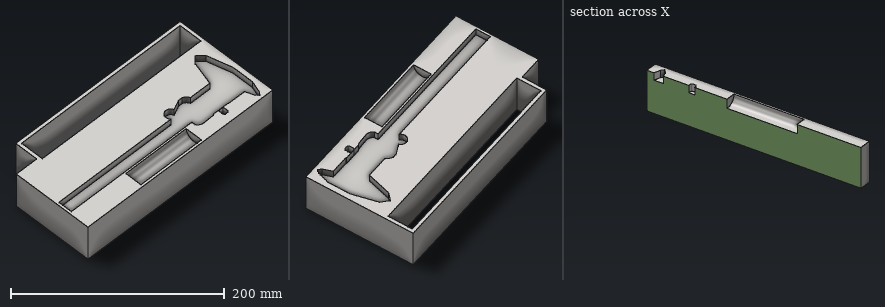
import cadquery as cq
import math

WIDTH = 122.82
LENGTH = 245.0
HEIGHT = 45.0
NOTCH_WIDTH = 28.0
NOTCH_LENGTH = 27.0

WALL = 4.0
COMPARTMENT_WIDTH = 27.4

TRAY_RADIUS = 10.0
TRAY_LENGTH = 80.0
TRAY_CENTER_X = 110.0
TRAY_START_Y = 73.0

CALIPER_DEPTH = 8.0
BEAM_LEFT = 81.4
BEAM_RIGHT = 97.9
BEAM_END_Y = 3.0
HEAD_LEFT = 75.1
HEAD_RIGHT = 105.5
JAW_TOP_Y = 238.7
LARGE_JAW = [
    (HEAD_LEFT, 209.2),
    (47.7, 217.0),
    (40.7, 223.8),
    (48.0, 231.4),
    (76.5, JAW_TOP_Y),
]
SMALL_JAW = [
    (101.9, JAW_TOP_Y),
    (115.7, 234.2),
    (119.0, 231.6),
    (115.7, 228.4),
    (HEAD_RIGHT, 224.7),
]
SLIDER_RIGHT = 105.0
SLIDER_TOP_Y = 203.7
SLIDER_BOTTOM_Y = 162.5
GRIP_TOP_Y = 184.0
GRIP_RIGHT = 106.5
GRIP_LEAD_RADIUS = 3.4
GRIP_LEAD_ANGLE = math.radians(45)
GRIP_END_Y = 170.3
GRIP_CORNER_MID = (105.2, 165.2)
GRIP_CORNER_END_X = 102.0
THUMB_REST_LEFT = 69.7
THUMB_REST_TOP_Y = 183.6
THUMB_REST_CURVE_MID = (71.6, 181.1)
THUMB_REST_CURVE_END_Y = 178.0
THUMB_REST_SLOPE_TOP_Y = 173.2
THUMB_REST_SLOPE_END = (75.0, 161.8)
WHEEL_CENTER = (76.7, 155.9)
WHEEL_RADIUS = 6.4

SCREW_WEB = 0.1
SCREW_LENGTH_X = 7.7
SCREW_LENGTH_Y = 6.3
SCREW_CENTER_Y = 193.5
SCREW_CORNER_RADIUS = 1.8


def make_block():
    """Rectangular block with the notch in its lower-left corner."""
    block = cq.Workplane("XY").box(WIDTH, LENGTH, HEIGHT, centered=False)
    notch = cq.Workplane("XY").box(NOTCH_WIDTH, NOTCH_LENGTH, HEIGHT, centered=False)
    return block.cut(notch)


def make_compartment():
    """Rectangular opening that passes through the full height."""
    start_y = NOTCH_LENGTH + WALL
    length = LENGTH - WALL - start_y
    compartment = cq.Workplane("XY").box(COMPARTMENT_WIDTH, length, HEIGHT, centered=False)
    return compartment.translate((WALL, start_y, 0))


def make_tray():
    """Cylinder along Y whose axis lies in the top face."""
    tray_plane = cq.Workplane("XZ", origin=(TRAY_CENTER_X, TRAY_START_Y, HEIGHT))
    return tray_plane.circle(TRAY_RADIUS).extrude(-TRAY_LENGTH)


def make_caliper():
    """Caliper silhouette, drawn clockwise from the beam end, joined with its thumb wheel."""
    lead_center_x = SLIDER_RIGHT - GRIP_LEAD_RADIUS * math.cos(GRIP_LEAD_ANGLE)
    lead_center_y = GRIP_TOP_Y - GRIP_LEAD_RADIUS * math.sin(GRIP_LEAD_ANGLE)
    lead_mid = (
        lead_center_x + GRIP_LEAD_RADIUS * math.cos(GRIP_LEAD_ANGLE / 2),
        lead_center_y + GRIP_LEAD_RADIUS * math.sin(GRIP_LEAD_ANGLE / 2),
    )
    lead_end = (lead_center_x + GRIP_LEAD_RADIUS, lead_center_y)
    silhouette = (
        cq.Workplane("XY", origin=(0, 0, HEIGHT))
        .moveTo(BEAM_LEFT, BEAM_END_Y)
        .lineTo(BEAM_LEFT, WHEEL_CENTER[1])
        .lineTo(*THUMB_REST_SLOPE_END)
        .lineTo(THUMB_REST_LEFT, THUMB_REST_SLOPE_TOP_Y)
        .lineTo(THUMB_REST_LEFT, THUMB_REST_CURVE_END_Y)
        .threePointArc(THUMB_REST_CURVE_MID, (HEAD_LEFT, THUMB_REST_TOP_Y))
        .polyline(LARGE_JAW + SMALL_JAW, includeCurrent=True)
        .lineTo(HEAD_RIGHT, SLIDER_TOP_Y)
        .lineTo(SLIDER_RIGHT, SLIDER_TOP_Y)
        .lineTo(SLIDER_RIGHT, GRIP_TOP_Y)
        .threePointArc(lead_mid, lead_end)
        .lineTo(GRIP_RIGHT, GRIP_END_Y)
        .threePointArc(GRIP_CORNER_MID, (GRIP_CORNER_END_X, SLIDER_BOTTOM_Y))
        .lineTo(BEAM_RIGHT, SLIDER_BOTTOM_Y)
        .lineTo(BEAM_RIGHT, BEAM_END_Y)
        .close()
        .extrude(-CALIPER_DEPTH)
    )
    wheel_plane = cq.Workplane("XY", origin=(*WHEEL_CENTER, HEIGHT))
    return silhouette.union(wheel_plane.circle(WHEEL_RADIUS).extrude(-CALIPER_DEPTH))


def make_screw_recess():
    """Rounded rectangle beside the slider, as deep as the caliper pocket."""
    center_x = SLIDER_RIGHT + SCREW_WEB + SCREW_LENGTH_X / 2
    recess_plane = cq.Workplane("XY", origin=(center_x, SCREW_CENTER_Y, HEIGHT))
    recess = recess_plane.rect(SCREW_LENGTH_X, SCREW_LENGTH_Y).extrude(-CALIPER_DEPTH)
    return recess.edges("|Z").fillet(SCREW_CORNER_RADIUS)


result = make_block()
for pocket in (make_compartment(), make_tray(), make_caliper(), make_screw_recess()):
    result = result.cut(pocket)